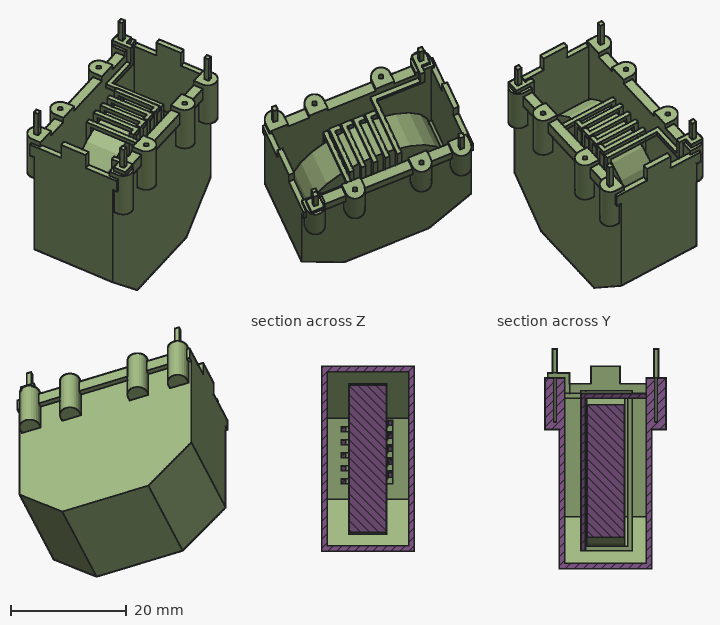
import cadquery as cq
TOTAL_HEIGHT = 38.0
TOTAL_WIDTH = 21.0

HOUSING_LENGTH = 32.0
HOUSING_WIDTH = 16.0
WALL = 1.0
BOTTOM_LENGTH = 16.0
INNER_FLOOR_LENGTH = 14.02
RIM_TOP = 32.0
FLANGE_WIDTH = 17.7
FLANGE_BOTTOM = 29.5
TAB_TOP = 35.0
TAB_WIDTH = 5.0

ROUND_SIDES = 24
POST_RADIUS = 1.75
POST_TOP = 33.0
POST_BOTTOM = 24.0
PIN_POST_Y = 13.75
SCREW_POST_Y = 6.27
SCREW_HOLE_DIAMETER = 0.85
SCREW_HOLE_DEPTH = 7.6
PIN_SIZE = 0.85

WHEEL_RADIUS = 13.0
WHEEL_WIDTH = 6.55
WHEEL_CENTER = (-0.05, 0, 16.9)

STRIP = 0.85
COIL_LEFT = -4.65
COIL_RIGHT = 4.25
COIL_TURNS = 5
COIL_PITCH = 2.25
COIL_FIRST_Y = 6.2
LEAD_DROP = 0.45
PAD_SIZE = 2.45

INNER_X = HOUSING_WIDTH / 2 - WALL
HALF_LENGTH = HOUSING_LENGTH / 2
POST_X = TOTAL_WIDTH / 2 - POST_RADIUS

BARE_PIN_CORNERS = [(-POST_X, -PIN_POST_Y), (POST_X, PIN_POST_Y)]
FIRST_PAD = (-POST_X, PIN_POST_Y)
LAST_PAD = (POST_X, -PIN_POST_Y)


def box(x0, x1, y0, y1, z0, z1):
    """Axis-aligned block between two opposite corners."""
    block = cq.Workplane("XY").box(x1 - x0, y1 - y0, z1 - z0, centered=False)
    return block.translate((x0, y0, z0))


def square_column(center, size, z0, z1):
    """Upright square block centred on an (x, y) place."""
    x, y = center
    half = size / 2
    return box(x - half, x + half, y - half, y + half, z0, z1)


def faceted_column(center, radius, z0, z1):
    """Upright many-sided column centred on an (x, y) place."""
    column = cq.Workplane("XY").polygon(ROUND_SIDES, 2 * radius).extrude(z1 - z0)
    return column.translate((*center, z0))


def make_pin(corner):
    """Square contact pin standing on a post."""
    return square_column(corner, PIN_SIZE, POST_TOP, TOTAL_HEIGHT)


def bevelled_prism(width, length, floor_length, z_floor, z_top):
    """Prism along X whose ends slope at 45 degrees up from a shorter floor."""
    bevel_top = z_floor + (length - floor_length) / 2
    outline = [
        (-floor_length / 2, z_floor),
        (floor_length / 2, z_floor),
        (length / 2, bevel_top),
        (length / 2, z_top),
        (-length / 2, z_top),
        (-length / 2, bevel_top),
    ]
    return cq.Workplane("YZ").polyline(outline).close().extrude(width / 2, both=True)


def make_post(side, y):
    """D-shaped mounting post, flat towards the inside of the housing."""
    x = side * POST_X
    inner_x = side * INNER_X
    column = faceted_column((x, y), POST_RADIUS, POST_BOTTOM, POST_TOP)
    web = box(
        min(x, inner_x), max(x, inner_x),
        y - POST_RADIUS, y + POST_RADIUS,
        POST_BOTTOM, POST_TOP,
    )
    return column.union(web)


def make_housing():
    body = bevelled_prism(HOUSING_WIDTH, HOUSING_LENGTH, BOTTOM_LENGTH, 0, RIM_TOP)
    flange = box(-FLANGE_WIDTH / 2, FLANGE_WIDTH / 2, -HALF_LENGTH, HALF_LENGTH, FLANGE_BOTTOM, RIM_TOP)
    end_tabs = box(-TAB_WIDTH / 2, TAB_WIDTH / 2, -HALF_LENGTH, HALF_LENGTH, FLANGE_BOTTOM, TAB_TOP)
    body = body.union(flange).union(end_tabs)

    for side in (-1, 1):
        for y in (-PIN_POST_Y, -SCREW_POST_Y, SCREW_POST_Y, PIN_POST_Y):
            body = body.union(make_post(side, y))

    cavity = bevelled_prism(2 * INNER_X, HOUSING_LENGTH - 2 * WALL, INNER_FLOOR_LENGTH, WALL, TAB_TOP)
    body = body.cut(cavity)

    for x in (-POST_X, POST_X):
        for y in (-SCREW_POST_Y, SCREW_POST_Y):
            hole_bottom = POST_TOP - SCREW_HOLE_DEPTH
            body = body.cut(faceted_column((x, y), SCREW_HOLE_DIAMETER / 2, hole_bottom, POST_TOP))
    return body


def make_wheel():
    """Many-sided disc with its axis along X, inside the coil windings."""
    disc = cq.Workplane("YZ").polygon(ROUND_SIDES, 2 * WHEEL_RADIUS)
    return disc.extrude(WHEEL_WIDTH / 2, both=True).translate(WHEEL_CENTER)


def conductor(start, end):
    """Square bar whose centre line joins two points along one axis."""
    half = STRIP / 2
    low = [min(a, b) - half for a, b in zip(start, end)]
    high = [max(a, b) + half for a, b in zip(start, end)]
    return box(low[0], high[0], low[1], high[1], low[2], high[2])


def lead_path(pad, crossing_y, lead_z):
    """Centre line from a pad over the wall, down it and along it to a crossing."""
    pad_x, pad_y = pad
    wall_x = INNER_X - STRIP / 2
    run_x = wall_x if pad_x > 0 else -wall_x
    inset = (PAD_SIZE - STRIP) / 2
    run_y = pad_y - inset if pad_y > 0 else pad_y + inset
    pad_z = POST_TOP + STRIP / 2
    return [
        (pad_x, run_y, pad_z),
        (run_x, run_y, pad_z),
        (run_x, run_y, lead_z),
        (run_x, crossing_y, lead_z),
    ]


def coil_path():
    """Centre line of the coil: first lead, square windings around the wheel, last lead."""
    left = COIL_LEFT + STRIP / 2
    right = COIL_RIGHT - STRIP / 2
    winding_half_height = WHEEL_RADIUS + STRIP / 2
    top = WHEEL_CENTER[2] + winding_half_height
    bottom = WHEEL_CENTER[2] - winding_half_height
    lead_z = top - LEAD_DROP

    path = lead_path(FIRST_PAD, COIL_FIRST_Y, lead_z)
    path.append((right, COIL_FIRST_Y, lead_z))
    for turn in range(COIL_TURNS):
        down_y = COIL_FIRST_Y - turn * COIL_PITCH
        up_y = down_y - COIL_PITCH / 2
        next_y = down_y - COIL_PITCH
        path += [(right, down_y, bottom), (right, up_y, bottom), (left, up_y, bottom)]
        if turn < COIL_TURNS - 1:
            path += [(left, up_y, top), (right, up_y, top), (right, next_y, top)]
    path.append((left, up_y, lead_z))
    return path + lead_path(LAST_PAD, up_y, lead_z)[::-1]


def make_coil():
    """One continuous conductor with a pad and a contact pin at each end."""
    path = coil_path()
    coil = conductor(path[0], path[1])
    for start, end in zip(path[1:], path[2:]):
        coil = coil.union(conductor(start, end))
    for corner in (FIRST_PAD, LAST_PAD):
        coil = coil.union(square_column(corner, PAD_SIZE, POST_TOP, POST_TOP + STRIP))
        coil = coil.union(make_pin(corner))
    return coil


housing = make_housing()
wheel = make_wheel()
coil = make_coil()
bare_pins = [make_pin(corner) for corner in BARE_PIN_CORNERS]

result = cq.Compound.makeCompound(
    [housing.val(), wheel.val(), coil.val(), *[pin.val() for pin in bare_pins]]
)